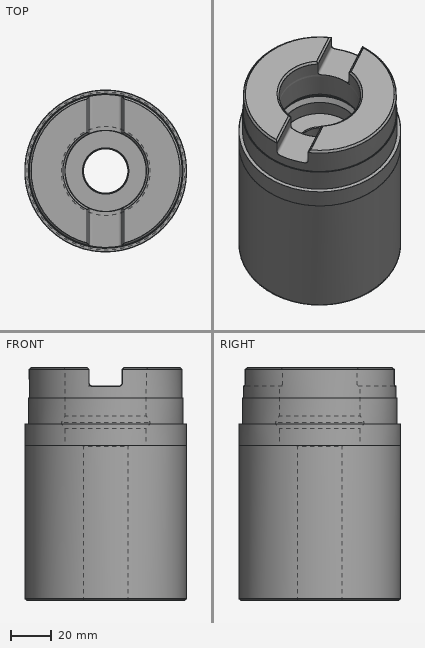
import cadquery as cq
import math

TOTAL_HEIGHT = 115.0
BODY_DIAMETER = 80.0
JOINT_Z = 76.5
BASE_CHAMFER = 1.0

SHOULDER_Z = 87.2
COLLAR_DIAMETER = 76.5
HEAD_Z = 100.0
HEAD_DIAMETER = 75.5
EDGE_CHAMFER = 1.0

SLOT_WIDTH = 16.3
SLOT_DEPTH = 9.2
SLOT_FILLET = 1.7
SLOT_FLOOR_Z = TOTAL_HEIGHT - SLOT_DEPTH

ENTRY_DIAMETER = 40.2
BORE_DIAMETER = 40.0
ENTRY_TAPER = 1.2
LAND_BOTTOM_Z = 91.2
GROOVE_DEPTH = 2.0
GROOVE_FLAT = 0.6
UPPER_FLANK_ANGLE = 30.0
LOWER_FLANK_ANGLE = 40.0
GROOVE_TOP_Z = LAND_BOTTOM_Z - GROOVE_DEPTH / math.tan(math.radians(UPPER_FLANK_ANGLE))
GROOVE_BOTTOM_Z = GROOVE_TOP_Z - GROOVE_FLAT
LOWER_BORE_Z = GROOVE_BOTTOM_Z - GROOVE_DEPTH / math.tan(math.radians(LOWER_FLANK_ANGLE))

HOLE_DIAMETER = 22.0
HOLE_CHAMFER = 0.5


def make_sleeve():
    """Long lower cylinder with a chamfered foot and a through hole."""
    return (
        cq.Workplane("XY")
        .circle(BODY_DIAMETER / 2)
        .extrude(JOINT_Z)
        .faces("<Z")
        .edges()
        .chamfer(BASE_CHAMFER)
        .faces(">Z")
        .workplane()
        .hole(HOLE_DIAMETER)
        .faces(">Z")
        .edges(cq.selectors.RadiusNthSelector(0))
        .chamfer(HOLE_CHAMFER)
    )


def make_cap_blank():
    """Stepped ring, turned from a half section around Z."""
    body_radius = BODY_DIAMETER / 2
    collar_radius = COLLAR_DIAMETER / 2
    head_radius = HEAD_DIAMETER / 2
    entry_radius = ENTRY_DIAMETER / 2
    bore_radius = BORE_DIAMETER / 2
    half_section = [
        (bore_radius, JOINT_Z),
        (body_radius, JOINT_Z),
        (body_radius, SHOULDER_Z),
        (collar_radius, SHOULDER_Z),
        (collar_radius, HEAD_Z),
        (head_radius, HEAD_Z),
        (head_radius, TOTAL_HEIGHT - EDGE_CHAMFER),
        (head_radius - EDGE_CHAMFER, TOTAL_HEIGHT),
        (entry_radius + EDGE_CHAMFER, TOTAL_HEIGHT),
        (entry_radius, TOTAL_HEIGHT - EDGE_CHAMFER),
        (entry_radius, SLOT_FLOOR_Z),
        (bore_radius, SLOT_FLOOR_Z - ENTRY_TAPER),
        (bore_radius, LAND_BOTTOM_Z),
        (bore_radius + GROOVE_DEPTH, GROOVE_TOP_Z),
        (bore_radius + GROOVE_DEPTH, GROOVE_BOTTOM_Z),
        (bore_radius, LOWER_BORE_Z),
    ]
    return cq.Workplane("XZ").polyline(half_section).close().revolve(360, (0, 0), (0, 1))


def make_slot_cutter():
    """Slot along Y with rounded floor corners and flared top edges."""
    half_width = SLOT_WIDTH / 2
    flare_z = TOTAL_HEIGHT - EDGE_CHAMFER
    return (
        cq.Workplane("XZ")
        .moveTo(-half_width + SLOT_FILLET, SLOT_FLOOR_Z)
        .lineTo(half_width - SLOT_FILLET, SLOT_FLOOR_Z)
        .radiusArc((half_width, SLOT_FLOOR_Z + SLOT_FILLET), -SLOT_FILLET)
        .lineTo(half_width, flare_z)
        .lineTo(half_width + EDGE_CHAMFER, TOTAL_HEIGHT)
        .lineTo(-half_width - EDGE_CHAMFER, TOTAL_HEIGHT)
        .lineTo(-half_width, flare_z)
        .lineTo(-half_width, SLOT_FLOOR_Z + SLOT_FILLET)
        .radiusArc((-half_width + SLOT_FILLET, SLOT_FLOOR_Z), -SLOT_FILLET)
        .close()
        .extrude(BODY_DIAMETER / 2, both=True)
    )


sleeve = make_sleeve()
cap = make_cap_blank().cut(make_slot_cutter())

result = cq.Compound.makeCompound([sleeve.val(), cap.val()])